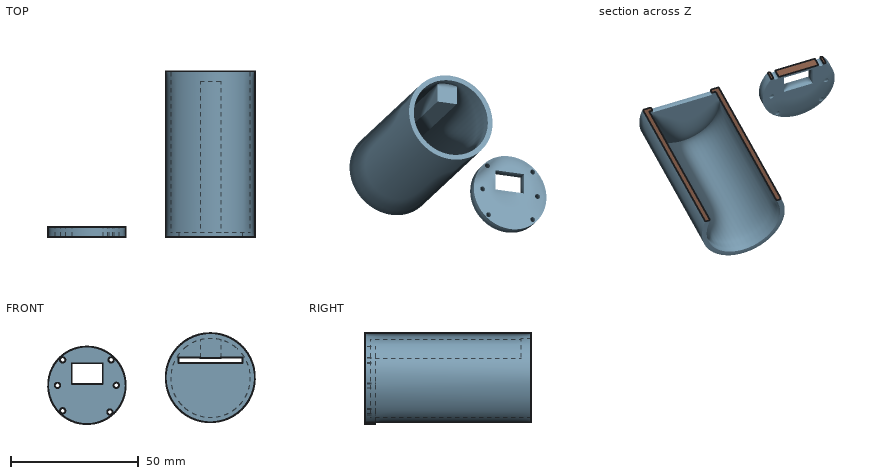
import cadquery as cq

lid_diameter = 30.5
lid_thickness = 4.0
window_width = 12.0
window_height = 8.0
window_center_x = 0.2
window_center_z = 4.5
screw_hole_diameter = 2.0
side_hole_x = 11.5
corner_hole_x = 9.5
corner_hole_z = 10.0
odd_hole_x = 9.0
odd_hole_z = 10.45

housing_diameter = 35.0
bore_diameter = 31.0
housing_length = 65.0
overall_width = 81.0
overall_height = 35.7
housing_x = overall_width - (lid_diameter + housing_diameter) / 2
housing_z = overall_height - (lid_diameter + housing_diameter) / 2
front_wall = (housing_diameter - bore_diameter) / 2
slot_width = 24.95
slot_height = 2.0
slot_center_x = 0.1
slot_center_z = 6.8

rib_width = 8.0
rib_dip = 0.25
rib_length = housing_length - front_wall - lid_thickness


def cylinder(diameter, length, x, z, start_y=0.0):
    """Cylinder running from start_y in the +Y direction."""
    return cq.Workplane(
        cq.Solid.makeCylinder(diameter / 2, length, cq.Vector(x, start_y, z), cq.Vector(0, 1, 0))
    )


def block(width, length, height, x, z, start_y=0.0):
    """Box centred on x and z, running from start_y in the +Y direction."""
    return cq.Workplane().box(width, length, height).translate((x, start_y + length / 2, z))


def make_lid():
    lid = cylinder(lid_diameter, lid_thickness, 0, 0)
    lid = lid.cut(block(window_width, lid_thickness, window_height, window_center_x, window_center_z))
    hole_centers = [
        (-side_hole_x, 0),
        (side_hole_x, 0),
        (-corner_hole_x, corner_hole_z),
        (corner_hole_x, corner_hole_z),
        (-corner_hole_x, -corner_hole_z),
        (odd_hole_x, -odd_hole_z),
    ]
    for x, z in hole_centers:
        lid = lid.cut(cylinder(screw_hole_diameter, lid_thickness, x, z))
    return lid


def make_rib():
    rib_bottom = slot_center_z + slot_height / 2 - rib_dip
    rib_top = housing_diameter / 2
    rib_height = rib_top - rib_bottom
    rib_center_z = housing_z + (rib_bottom + rib_top) / 2
    rib = block(rib_width, rib_length, rib_height, housing_x, rib_center_z, front_wall)
    return rib.intersect(cylinder(housing_diameter, housing_length, housing_x, housing_z))


def make_housing():
    housing = cylinder(housing_diameter, housing_length, housing_x, housing_z)
    bore_depth = housing_length - front_wall
    housing = housing.cut(cylinder(bore_diameter, bore_depth, housing_x, housing_z, front_wall))
    housing = housing.cut(
        block(
            slot_width,
            front_wall,
            slot_height,
            housing_x + slot_center_x,
            housing_z + slot_center_z,
        )
    )
    return housing.union(make_rib())


lid = make_lid()
housing = make_housing()
result = cq.Compound.makeCompound([lid.val(), *housing.solids().vals()])